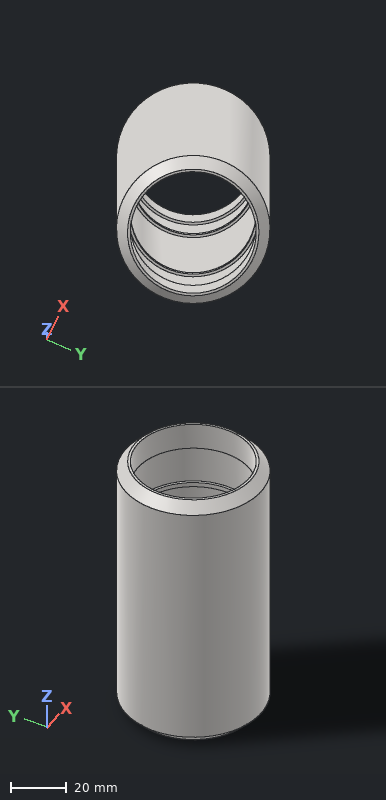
import cadquery as cq

length = 106.0
outer_diameter = 55.0
bore_diameter = 45.0
end_chamfer = 4.0

relief_diameter = 47.0
land_length = 10.5
end_relief_length = 15.2
lip_width = 1.8


def cylinder(diameter, bottom, height):
    """Solid cylinder on the Z axis, starting at the given height."""
    return cq.Workplane("XY", origin=(0, 0, bottom)).circle(diameter / 2).extrude(height)


def make_sleeve():
    """Plain tube with both outer rims chamfered."""
    body = cylinder(outer_diameter, 0, length)
    body = body.faces("<Z or >Z").chamfer(end_chamfer)
    return body.cut(cylinder(bore_diameter, 0, length))


def relieve_bore(sleeve):
    """Widen the bore, leaving a land at each end and a narrow lip further in."""
    upper_relief_bottom = length - land_length - end_relief_length
    for bottom in (land_length, upper_relief_bottom):
        sleeve = sleeve.cut(cylinder(relief_diameter, bottom, end_relief_length))

    middle_bottom = land_length + end_relief_length + lip_width
    middle_length = length - 2 * middle_bottom
    return sleeve.cut(cylinder(relief_diameter, middle_bottom, middle_length))


result = relieve_bore(make_sleeve())